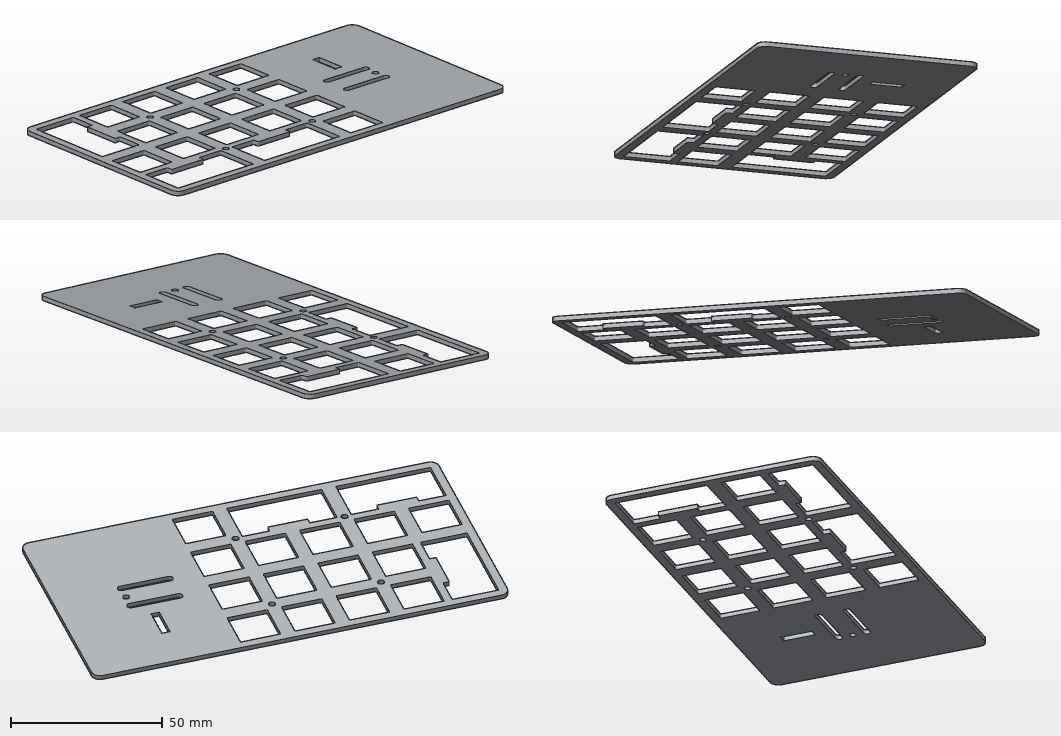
import cadquery as cq

width = 77.0
length = 145.0
thickness = 1.6
plate_corner_radius = 3.0

key_pitch = 19.0
key_size = 14.0
key_corner_radius = 0.3
column_count = 4
row_count = 5
edge_margin = (width - (column_count - 1) * key_pitch - key_size) / 2
first_column_x = -width / 2 + edge_margin + key_size / 2
first_row_y = -length / 2 + edge_margin + key_size / 2

double_length = key_pitch + key_size
relief_depth = 2.2
relief_length = (double_length - key_size) / 2
wide_key = (0, 0)
tall_keys = [(3, 0), (3, 2)]
double_key_cells = [wide_key, (wide_key[0] + 1, wide_key[1])]
for column, row in tall_keys:
    double_key_cells += [(column, row), (column, row + 1)]

hole_diameter = 2.2
hole_columns = [0.5, 2.5]
hole_rows = [1.5, 3.5]
upper_hole_y = 48.5

slot_length = 19.3
slot_width = 2.4
slot_x = 5.0
slot_y = 40.15
window_length = 11.2
window_width = 2.8
window_x = -17.05
window_y = 42.2

cut_height = 2 * thickness


def grid_x(column):
    return first_column_x + column * key_pitch


def grid_y(row):
    return first_row_y + row * key_pitch


def box_at(x, y, size_x, size_y):
    """Cutting block centred on (x, y), reaching through the plate."""
    return cq.Workplane("XY").box(size_x, size_y, cut_height).translate((x, y, 0))


def key_cutter(column, row):
    cutter = box_at(grid_x(column), grid_y(row), key_size, key_size)
    return cutter.edges("|Z").fillet(key_corner_radius)


def double_key_cutter():
    """Two-unit opening along Y, centred on the origin, with reliefs on -X."""
    right = key_size / 2
    left = -key_size / 2
    relief_left = left - relief_depth
    end = double_length / 2
    step = end - relief_length
    outline = [
        (right, -end),
        (right, end),
        (relief_left, end),
        (relief_left, step),
        (left, step),
        (left, -step),
        (relief_left, -step),
        (relief_left, -end),
    ]
    cutter = cq.Workplane("XY").polyline(outline).close().extrude(cut_height / 2, both=True)
    return cutter.edges("|Z").fillet(key_corner_radius)


def tall_key_cutter(column, row):
    return double_key_cutter().translate((grid_x(column), grid_y(row + 0.5), 0))


def wide_key_cutter(column, row):
    turned = double_key_cutter().rotate((0, 0, 0), (0, 0, 1), -90)
    return turned.translate((grid_x(column + 0.5), grid_y(row), 0))


def hole_cutter(x, y):
    return cq.Workplane("XY").center(x, y).circle(hole_diameter / 2).extrude(cut_height / 2, both=True)


def slot_cutter(x):
    slot = cq.Workplane("XY").center(x, slot_y).slot2D(slot_length, slot_width, 90)
    return slot.extrude(cut_height / 2, both=True)


plate = cq.Workplane("XY").box(width, length, thickness)
result = plate.edges("|Z").fillet(plate_corner_radius)

for column in range(column_count):
    for row in range(row_count):
        if (column, row) not in double_key_cells:
            result = result.cut(key_cutter(column, row))

for column, row in tall_keys:
    result = result.cut(tall_key_cutter(column, row))

result = result.cut(wide_key_cutter(*wide_key))

for column in hole_columns:
    for row in hole_rows:
        result = result.cut(hole_cutter(grid_x(column), grid_y(row)))

result = result.cut(hole_cutter(0, upper_hole_y))

for side in (-1, 1):
    result = result.cut(slot_cutter(side * slot_x))

result = result.cut(box_at(window_x, window_y, window_length, window_width))